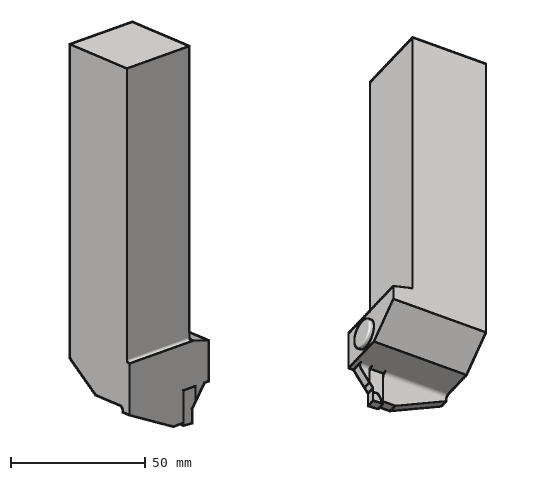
import cadquery as cq

TOTAL_HEIGHT = 152.4
TOTAL_WIDTH = 33.0
TOTAL_DEPTH = 41.9

SHANK_WIDTH = 31.5
SHANK_DEPTH = 31.7

HEAD_DEPTH = 40.1
HEAD_BOTTOM = 14.6
LEDGE_TOP = 33.5
LEDGE_EDGE = 31.2
STEP_Z = 33.4
CORNER_FILLET = 0.9
CHAMFER_TOP = 25.1
CHAMFER_WIDTH = 14.3

BLADE_THICKNESS = 3.8
BLADE_LEFT = TOTAL_WIDTH - BLADE_THICKNESS
BLADE_BOTTOM = 1.4
BLADE_FRONT_HEIGHT = 12.3
BLADE_NOSE_Y = 22.1
BLADE_REAR_Y = 38.0
BLADE_FILLET = 1.7

INSERT_FRONT_Y = 27.3
INSERT_BACK_Y = 33.2
CUTTING_FACE_Y = SHANK_DEPTH
CUTTING_FACE_TOP = 6.0
INSERT_HEEL_Z = 0.3
TIP_ROOT = 0.5
TIP_OVERHANG = 0.2
TIP_HEIGHT = 4.1
TIP_LENGTH = 3.7
TIP_FLAT = 2.0
TIP_BULGE = 0.5

BOSS_DIAMETER = 11.9
BOSS_X = 20.3
BOSS_Z = 22.0
BOSS_FILLET = 0.8

REAR_SLOPE = (HEAD_BOTTOM - CUTTING_FACE_TOP) / (BLADE_REAR_Y - CUTTING_FACE_Y)
INSERT_BEVEL_TOP = CUTTING_FACE_TOP + REAR_SLOPE * (INSERT_BACK_Y - CUTTING_FACE_Y)


def extrude_along_x(points, x_start, x_end):
    """Prism with a (Y, Z) outline between two X positions."""
    return cq.Workplane("YZ", origin=(x_start, 0, 0)).polyline(points).close().extrude(x_end - x_start)


def make_front_profile():
    """Shank, head and blade outline in X and Z, through the full head depth."""
    profile = (
        cq.Workplane("XZ")
        .moveTo(0, TOTAL_HEIGHT)
        .lineTo(SHANK_WIDTH, TOTAL_HEIGHT)
        .lineTo(SHANK_WIDTH, STEP_Z + CORNER_FILLET)
        .radiusArc((SHANK_WIDTH + CORNER_FILLET, STEP_Z), -CORNER_FILLET)
        .lineTo(TOTAL_WIDTH, STEP_Z)
        .lineTo(TOTAL_WIDTH, 0)
        .lineTo(BLADE_LEFT, 0)
        .lineTo(BLADE_LEFT, HEAD_BOTTOM - BLADE_FILLET)
        .radiusArc((BLADE_LEFT - BLADE_FILLET, HEAD_BOTTOM), -BLADE_FILLET)
        .lineTo(CHAMFER_WIDTH, HEAD_BOTTOM)
        .lineTo(0, CHAMFER_TOP)
        .close()
    )
    return profile.extrude(-HEAD_DEPTH)


def make_side_profile():
    """Shank, ledge, head and tapered blade outline in Y and Z."""
    outline = [
        (0, TOTAL_HEIGHT),
        (SHANK_DEPTH, TOTAL_HEIGHT),
        (SHANK_DEPTH, LEDGE_TOP),
        (HEAD_DEPTH, LEDGE_EDGE),
        (HEAD_DEPTH, HEAD_BOTTOM),
        (BLADE_REAR_Y, HEAD_BOTTOM),
        (CUTTING_FACE_Y, CUTTING_FACE_TOP),
        (CUTTING_FACE_Y, BLADE_BOTTOM),
        (BLADE_NOSE_Y, BLADE_BOTTOM),
        (0, BLADE_FRONT_HEIGHT),
    ]
    ledge_corner = cq.selectors.NearestToPointSelector((TOTAL_WIDTH / 2, SHANK_DEPTH, LEDGE_TOP))
    return extrude_along_x(outline, 0, TOTAL_WIDTH).edges(ledge_corner).fillet(CORNER_FILLET)


def make_boss():
    """Round screw head with a rounded outer rim."""
    return (
        cq.Workplane("XZ", origin=(BOSS_X, HEAD_DEPTH, BOSS_Z))
        .circle(BOSS_DIAMETER / 2)
        .extrude(HEAD_DEPTH - TOTAL_DEPTH)
        .faces(">Y")
        .edges()
        .fillet(BOSS_FILLET)
    )


def make_holder():
    """Tool holder with the slot for the insert."""
    slot = cq.Workplane("XY").box(
        TOTAL_WIDTH, INSERT_BACK_Y - INSERT_FRONT_Y, HEAD_BOTTOM, centered=False
    ).translate((0, INSERT_FRONT_Y, 0))
    return make_front_profile().intersect(make_side_profile()).cut(slot).union(make_boss())


def make_tip_land():
    """Tapered side land, widest at the cutting face and fading out towards the front."""
    land_front = CUTTING_FACE_Y - TIP_LENGTH
    wedge = (
        cq.Workplane("XY")
        .moveTo(BLADE_LEFT - TIP_OVERHANG, CUTTING_FACE_Y)
        .lineTo(BLADE_LEFT + TIP_ROOT, CUTTING_FACE_Y)
        .lineTo(BLADE_LEFT + TIP_ROOT, land_front)
        .lineTo(BLADE_LEFT, land_front)
        .close()
        .extrude(TIP_HEIGHT)
    )
    outline = (
        cq.Workplane("YZ", origin=(BLADE_LEFT - TIP_OVERHANG, 0, 0))
        .moveTo(CUTTING_FACE_Y, 0)
        .lineTo(CUTTING_FACE_Y, TIP_HEIGHT)
        .lineTo(CUTTING_FACE_Y - TIP_FLAT, TIP_HEIGHT)
        .sagittaArc((land_front, INSERT_HEEL_Z), -TIP_BULGE)
        .close()
        .extrude(TIP_OVERHANG + TIP_ROOT)
    )
    return wedge.intersect(outline)


def make_insert():
    """Upright cutting insert, flush with both sides of the blade."""
    outline = [
        (INSERT_FRONT_Y, HEAD_BOTTOM),
        (INSERT_BACK_Y, HEAD_BOTTOM),
        (INSERT_BACK_Y, INSERT_BEVEL_TOP),
        (CUTTING_FACE_Y, CUTTING_FACE_TOP),
        (CUTTING_FACE_Y, 0),
        (INSERT_FRONT_Y, INSERT_HEEL_Z),
    ]
    shank = extrude_along_x(outline, BLADE_LEFT, TOTAL_WIDTH)
    return shank.union(make_tip_land())


holder = make_holder()
insert = make_insert()
result = cq.Compound.makeCompound([holder.val(), insert.val()])